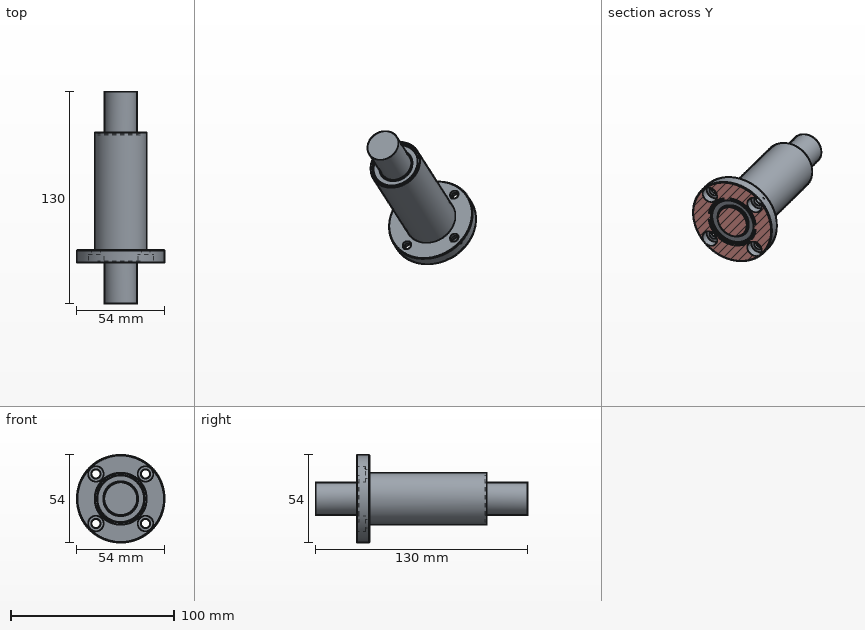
import cadquery as cq

shaft_length = 130.0
shaft_diameter = 20.0

sleeve_length = 80.0
sleeve_diameter = 32.0
sleeve_chamfer = 0.25

flange_diameter = 54.0
flange_thickness = 8.0
flange_chamfer = 0.5

seal_diameter = 28.5
seal_recess = 1.5
recess_chamfer = 0.4
lip_base_width = 0.75
lip_tip_width = 0.2
lip_height = 0.5

bolt_count = 4
bolt_circle_diameter = 43.0
bolt_start_angle = 45.0
bolt_hole_diameter = 5.5
counterbore_diameter = 9.5
counterbore_depth = 5.4

front_y = -sleeve_length / 2
back_y = sleeve_length / 2


def plane_at(y):
    """XZ plane at the given Y, with its normal pointing to +Y."""
    return cq.Plane(origin=(0, y, 0), xDir=(1, 0, 0), normal=(0, 1, 0))


def cylinder(diameter, start_y, length):
    return cq.Workplane(plane_at(start_y)).circle(diameter / 2).extrude(length)


def make_sleeve():
    sleeve = cylinder(sleeve_diameter, front_y, sleeve_length)
    return sleeve.edges("%CIRCLE").chamfer(sleeve_chamfer)


def make_flange():
    flange = cylinder(flange_diameter, front_y, flange_thickness)
    flange = flange.edges("%CIRCLE").chamfer(flange_chamfer)
    return flange.cut(cylinder(sleeve_diameter, front_y, flange_thickness))


def revolve_profile(points):
    """Turn (radius, y) points about the Y axis."""
    return cq.Workplane("XY").polyline(points).close().revolve(360, (0, 0, 0), (0, 1, 0))


def make_seal_recess(end_y, inward):
    """Bevelled recess in a sleeve end; inward is the Y direction into the sleeve."""
    seal_radius = seal_diameter / 2
    floor_y = end_y + inward * seal_recess
    return revolve_profile([
        (0, end_y),
        (seal_radius + recess_chamfer, end_y),
        (seal_radius, end_y + inward * recess_chamfer),
        (seal_radius, floor_y),
        (0, floor_y),
    ])


def make_seal_lip(end_y, inward):
    """Conical lip that rises from the seal face against the shaft."""
    shaft_radius = shaft_diameter / 2
    floor_y = end_y + inward * seal_recess
    return revolve_profile([
        (0, floor_y),
        (shaft_radius + lip_base_width, floor_y),
        (shaft_radius + lip_tip_width, floor_y - inward * lip_height),
        (0, floor_y - inward * lip_height),
    ])


def bolt_cylinders(diameter, depth):
    """One cylinder per bolt, from the flange face inward."""
    pattern = cq.Workplane(plane_at(front_y)).polarArray(
        bolt_circle_diameter / 2, bolt_start_angle, 360, bolt_count
    )
    return pattern.circle(diameter / 2).extrude(depth)


def make_bolt_holes():
    through_holes = bolt_cylinders(bolt_hole_diameter, flange_thickness)
    return through_holes.union(bolt_cylinders(counterbore_diameter, counterbore_depth))


housing = make_sleeve().union(make_flange()).cut(make_bolt_holes())
shaft = cylinder(shaft_diameter, -shaft_length / 2, shaft_length)

result = housing
for end_y, inward in ((front_y, 1), (back_y, -1)):
    result = result.cut(make_seal_recess(end_y, inward)).union(make_seal_lip(end_y, inward))
result = result.union(shaft)